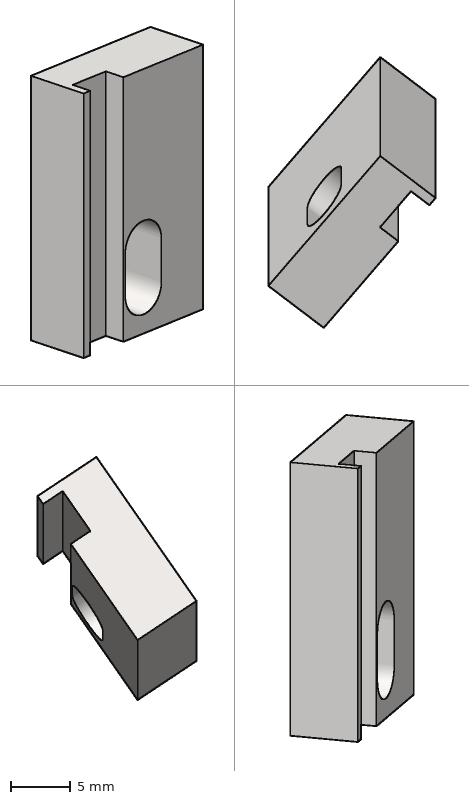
import cadquery as cq

thickness = 6.0
width = 15.0
height = 24.0

channel_depth = 2.0
lip_width = 0.85
channel_end = 5.0
channel_width = channel_end - lip_width

slot_length = 8.5
slot_width = 4.5
slot_center_z = 6.0

plate = cq.Workplane("XY").box(thickness, width, height, centered=False)

channel = (
    cq.Workplane("XY")
    .box(channel_depth, channel_width, height, centered=False)
    .translate((thickness - channel_depth, lip_width, 0))
)

slot = (
    cq.Workplane("YZ")
    .center(width / 2, slot_center_z)
    .slot2D(slot_length, slot_width, angle=90)
    .extrude(thickness)
)

result = plate.cut(channel).cut(slot)